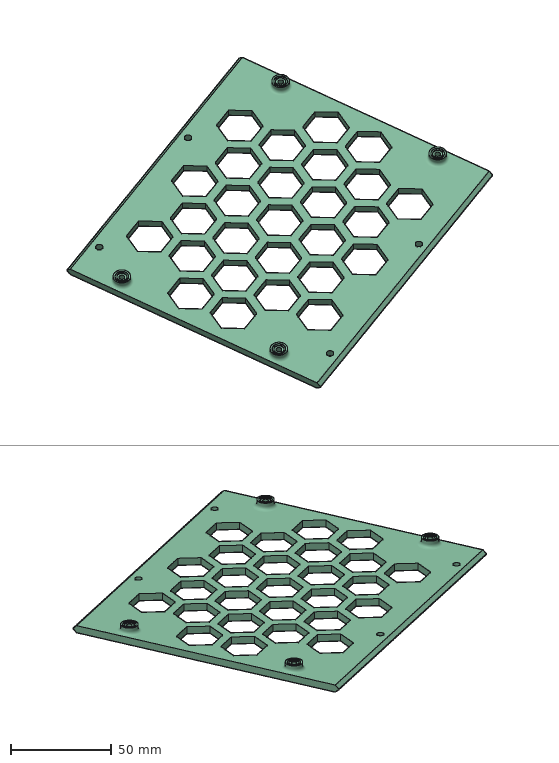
import cadquery as cq
import math

width = 148.5
depth = 164.8
bevel_width = 2.0
bevel_rise = 1.8
tip_height = 0.41
thickness = tip_height + 2 * bevel_rise

hexagon_across_flats = 20.1
hexagon_pitch = 24.9
row_pitch = hexagon_pitch * math.sqrt(3) / 2
hexagons_per_row = (2, 5, 4, 5, 4, 5, 2)

side_hole_diameter = 3.6
side_hole_x = 67.6
side_hole_y_positions = (-62.3, 22.7)

boss_diameter = 8.7
boss_height = 4.0
foot_radius = 2.0
boss_x = 46.0
boss_y = 76.0

bore_diameter = 2.8
inner_step_diameter = 5.1
inner_step_depth = 0.7
outer_step_diameter = 6.8
outer_step_depth = 0.3

plate_top = thickness
boss_top = plate_top + boss_height


def cylinder(diameter, bottom, top):
    return cq.Workplane("XY").workplane(offset=bottom).circle(diameter / 2).extrude(top - bottom)


def make_blank():
    tip_x = width / 2
    flat_x = tip_x - bevel_width
    tip_bottom = bevel_rise
    tip_top = bevel_rise + tip_height
    return (
        cq.Workplane("XZ")
        .moveTo(-flat_x, 0)
        .lineTo(flat_x, 0)
        .lineTo(tip_x, tip_bottom)
        .lineTo(tip_x, tip_top)
        .lineTo(flat_x, thickness)
        .lineTo(-flat_x, thickness)
        .lineTo(-tip_x, tip_top)
        .lineTo(-tip_x, tip_bottom)
        .close()
        .extrude(depth / 2, both=True)
    )


def hexagon_centres():
    middle_row = (len(hexagons_per_row) - 1) / 2
    centres = []
    for row, count in enumerate(hexagons_per_row):
        for column in range(count):
            x = (column - (count - 1) / 2) * hexagon_pitch
            y = (row - middle_row) * row_pitch
            centres.append((x, y))
    return centres


def cut_vents(plate):
    corner_radius = hexagon_across_flats / math.sqrt(3)
    corner_angles = [(corner + 0.5) * math.pi / 3 for corner in range(6)]
    corners = [(corner_radius * math.cos(a), corner_radius * math.sin(a)) for a in corner_angles]
    vent = cq.Workplane("XY").polyline(corners).close().extrude(thickness)
    for x, y in hexagon_centres():
        plate = plate.cut(vent.translate((x, y, 0)))
    return plate


def cut_side_holes(plate):
    hole = cylinder(side_hole_diameter, 0, thickness)
    for x in (-side_hole_x, side_hole_x):
        for y in side_hole_y_positions:
            plate = plate.cut(hole.translate((x, y, 0)))
    return plate


def make_boss():
    radius = boss_diameter / 2
    foot_top = plate_top + foot_radius
    arc_inset = foot_radius * (1 - math.sqrt(0.5))
    return (
        cq.Workplane("XZ")
        .moveTo(0, plate_top)
        .lineTo(radius + foot_radius, plate_top)
        .threePointArc((radius + arc_inset, plate_top + arc_inset), (radius, foot_top))
        .lineTo(radius, boss_top)
        .lineTo(0, boss_top)
        .close()
        .revolve(360, (0, 0), (0, 1))
    )


def make_boss_bore():
    bore = cylinder(bore_diameter, 0, boss_top)
    inner_step = cylinder(inner_step_diameter, boss_top - inner_step_depth, boss_top)
    outer_step = cylinder(outer_step_diameter, boss_top - outer_step_depth, boss_top)
    return bore.union(inner_step).union(outer_step)


def add_bosses(plate):
    boss = make_boss()
    bore = make_boss_bore()
    for x in (-boss_x, boss_x):
        for y in (-boss_y, boss_y):
            plate = plate.union(boss.translate((x, y, 0)))
            plate = plate.cut(bore.translate((x, y, 0)))
    return plate


vent_plate = add_bosses(cut_side_holes(cut_vents(make_blank())))

result = cq.Compound.makeCompound([vent_plate.solids().val()])